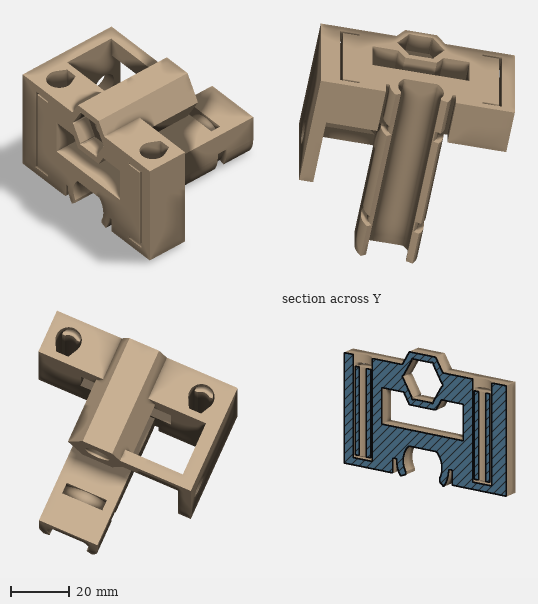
import math

import cadquery as cq


body_left = -35.15
body_right = 32.88
body_height = 40.0
body_depth = 40.0
block_depth = 15.9
side_wall_thickness = 4.9
bridge_thickness = 4.3
bridge_bottom = 32.7

window_width = 34.0
window_bottom = 17.0
window_top = 30.0

barrel_z = 35.5
barrel_flats = 19.26
nut_flats = 14.3
nut_depth = 6.5
nut_corner_relief = 0.7
bore_diameter = 9.2

clip_width = 22.0
clip_length = 65.0
clip_top = 15.4
clip_center_z = 5.4
clip_inner_radius = 8.0
clip_roof_z = 10.9
clip_relief_width = 24.6
lip_x = 7.0
lip_z = 0.4
left_tip_z = -1.16
right_tip_z = -0.5

tie_width = 4.0
front_tie_start = 12.6
rear_tie_start = 49.0
tie_inner_radius = 9.0
tie_arch_radius = 11.0
tie_arch_z = 7.4

cross_hole_diameter = 8.4
cross_hole_y = 32.8
cross_hole_z = 20.9

pocket_offset = 25.0
pocket_y = 7.95
pocket_radius = 4.55
pocket_flat_y = 13.4
pocket_flat_width = 4.6
pocket_floor = 2.8
taper_angle = 30.0
slot_width = 6.8
slot_depth = 6.0
slot_top = 36.9
slot_gap = 1.0
tongue_front_gap = 1.05
tongue_back_gap = 0.15
tongue_bevel_start = 3.7
tongue_bevel_end = 5.2
grip_width = 4.3
grip_sag = 0.8


def box(x0, x1, y0, y1, z0, z1):
    """Box between two opposite corners."""
    return cq.Workplane("XY").box(x1 - x0, y1 - y0, z1 - z0, centered=False).translate((x0, y0, z0))


def along_y(start):
    """XZ sketch plane at Y = start; positive extrusion runs toward -Y."""
    return cq.Workplane("XZ", origin=(0, start, 0))


def across_corners(flats):
    """Corner-to-corner size of a hexagon from its size across flats."""
    return flats / math.cos(math.radians(30))


def hexagon_bar(flats, length):
    """Hexagonal bar on the barrel axis, from the front face back, with flats above and below."""
    return along_y(0).center(0, barrel_z).polygon(6, across_corners(flats)).extrude(-length)


def nut_trap():
    """Hexagonal pocket with a small round relief along each corner."""
    relief_centers = across_corners(nut_flats) - nut_corner_relief / 2
    reliefs = (
        along_y(0)
        .center(0, barrel_z)
        .polygon(6, relief_centers, forConstruction=True)
        .vertices()
        .circle(nut_corner_relief / 2)
        .extrude(-nut_depth)
    )
    return hexagon_bar(nut_flats, nut_depth).union(reliefs)


def frame():
    block = box(body_left, body_right, 0, block_depth, 0, body_height)
    side_wall = box(body_left, body_left + side_wall_thickness, 0, body_depth, 0, body_height)
    bridge = box(body_left, 0, body_depth - bridge_thickness, body_depth, bridge_bottom, body_height)
    window = box(-window_width / 2, window_width / 2, 0, block_depth, window_bottom, window_top)
    relief = box(-clip_relief_width / 2, clip_relief_width / 2, 0, block_depth, 0, clip_center_z)
    seat = box(-clip_inner_radius, clip_inner_radius, 0, block_depth, 0, clip_top)
    return block.union(side_wall).union(bridge).cut(window).cut(relief).cut(seat)


def clip():
    """Bar with a C-shaped mouth whose two jaws end in sloped lips."""
    half_width = clip_width / 2
    roof_x = math.sqrt(clip_inner_radius**2 - (clip_roof_z - clip_center_z) ** 2)
    mouth_z = clip_center_z - math.sqrt(clip_inner_radius**2 - lip_x**2)

    def tip(z):
        return (math.sqrt(half_width**2 - (clip_center_z - z) ** 2), z)

    def jaw_middle(z):
        angle = math.asin((clip_center_z - z) / half_width) / 2
        return (half_width * math.cos(angle), clip_center_z - half_width * math.sin(angle))

    right_tip = tip(right_tip_z)
    right_middle = jaw_middle(right_tip_z)
    left_tip = tip(left_tip_z)
    left_middle = jaw_middle(left_tip_z)
    profile = (
        along_y(0)
        .moveTo(-half_width, clip_top)
        .lineTo(half_width, clip_top)
        .lineTo(half_width, clip_center_z)
        .threePointArc(right_middle, right_tip)
        .lineTo(lip_x, lip_z)
        .lineTo(lip_x, mouth_z)
        .threePointArc((clip_inner_radius, clip_center_z), (roof_x, clip_roof_z))
        .lineTo(-roof_x, clip_roof_z)
        .threePointArc((-clip_inner_radius, clip_center_z), (-lip_x, mouth_z))
        .lineTo(-lip_x, lip_z)
        .lineTo(-left_tip[0], left_tip[1])
        .threePointArc((-left_middle[0], left_middle[1]), (-half_width, clip_center_z))
        .close()
    )
    return profile.extrude(-clip_length)


def jaw_notch(start, top_z):
    """Notch that thins both jaws of the clip from outside, up to the given height."""
    half_width = clip_relief_width / 2
    legs = box(-half_width, half_width, start, start + tie_width, left_tip_z, top_z)
    core = along_y(start).center(0, clip_center_z).circle(tie_inner_radius).extrude(-tie_width)
    return legs.cut(core)


def tie_channel(start):
    """Channel all the way around the clip: a jaw notch closed above by a round arch."""
    arch = along_y(start).center(0, tie_arch_z).circle(tie_arch_radius).extrude(-tie_width)
    core = along_y(start).center(0, clip_center_z).circle(tie_inner_radius).extrude(-tie_width)
    return arch.cut(core).union(jaw_notch(start, tie_arch_z))


def pocket_hole():
    """Round hole with a flat-topped taper toward the rear, centred on X = 0."""
    angle = math.radians(taper_angle)
    tangent_x = pocket_radius * math.cos(angle)
    tangent_y = pocket_y + pocket_radius * math.sin(angle)
    half_flat = pocket_flat_width / 2
    return (
        cq.Workplane("XY", origin=(0, 0, pocket_floor))
        .moveTo(-half_flat, pocket_flat_y)
        .lineTo(half_flat, pocket_flat_y)
        .lineTo(tangent_x, tangent_y)
        .threePointArc((0, pocket_y - pocket_radius), (-tangent_x, tangent_y))
        .close()
        .extrude(body_height - pocket_floor)
    )


def tongue():
    """Tongue rooted at -X and free at +X, with a hollow gripping face toward the pocket."""
    half_slot = slot_width / 2
    half_grip = grip_width / 2
    front_end = half_slot - tongue_front_gap
    back_end = half_slot - tongue_back_gap
    return (
        cq.Workplane("XY", origin=(0, 0, pocket_floor + slot_gap))
        .moveTo(-half_slot, 0)
        .lineTo(front_end, 0)
        .lineTo(front_end, tongue_bevel_start)
        .lineTo(back_end, tongue_bevel_end)
        .lineTo(back_end, slot_depth)
        .lineTo(half_grip, slot_depth)
        .threePointArc((0, slot_depth - grip_sag), (-half_grip, slot_depth))
        .lineTo(-half_slot, slot_depth)
        .close()
        .extrude(slot_top - pocket_floor - 2 * slot_gap)
    )


def pocket():
    """Everything removed for the right-hand pocket."""
    slot = box(-slot_width / 2, slot_width / 2, 0, slot_depth, pocket_floor, slot_top)
    return pocket_hole().union(slot).cut(tongue()).translate((pocket_offset, 0, 0))


def cross_hole():
    return (
        cq.Workplane("YZ", origin=(body_left, 0, 0))
        .center(cross_hole_y, cross_hole_z)
        .circle(cross_hole_diameter / 2)
        .extrude(side_wall_thickness)
    )


def bore():
    return along_y(0).center(0, barrel_z).circle(bore_diameter / 2).extrude(-body_depth)


right_pocket = pocket()
left_pocket = right_pocket.mirror("YZ")

result = frame().union(clip()).union(hexagon_bar(barrel_flats, body_depth))
result = result.cut(nut_trap()).cut(bore()).cut(cross_hole())
result = result.cut(right_pocket).cut(left_pocket)
result = result.cut(jaw_notch(front_tie_start, clip_center_z)).cut(tie_channel(rear_tie_start))